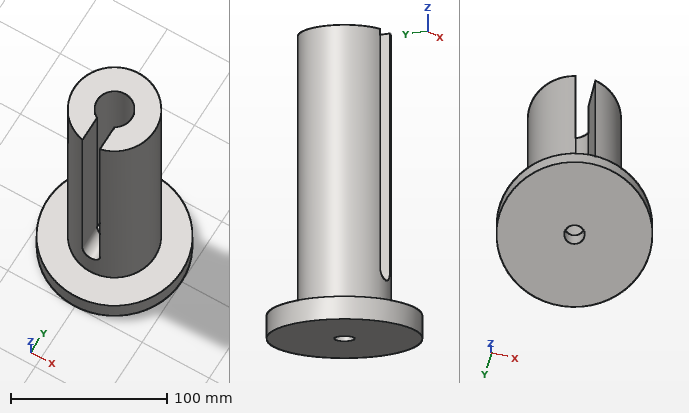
import cadquery as cq

total_height = 200.0
flange_diameter = 100.0
flange_thickness = 15.0
column_diameter = 60.0

bore_diameter = 25.5
through_hole_diameter = 13.0
bore_floor_z = flange_thickness

slot_width = 13.0
slot_bottom_z = 35.0


def make_body():
    flange = cq.Workplane("XY").circle(flange_diameter / 2).extrude(flange_thickness)
    column = cq.Workplane("XY").circle(column_diameter / 2).extrude(total_height)
    return flange.union(column)


def make_axial_hole():
    through_hole = cq.Workplane("XY").circle(through_hole_diameter / 2).extrude(total_height)
    bore = (
        cq.Workplane("XY")
        .workplane(offset=bore_floor_z)
        .circle(bore_diameter / 2)
        .extrude(total_height - bore_floor_z)
    )
    return through_hole.union(bore)


def make_slot():
    half_width = slot_width / 2
    arc_center_z = slot_bottom_z + half_width
    return (
        cq.Workplane("XZ")
        .moveTo(-half_width, total_height)
        .lineTo(-half_width, arc_center_z)
        .threePointArc((0, slot_bottom_z), (half_width, arc_center_z))
        .lineTo(half_width, total_height)
        .close()
        .extrude(column_diameter / 2)
    )


result = make_body().cut(make_axial_hole()).cut(make_slot())